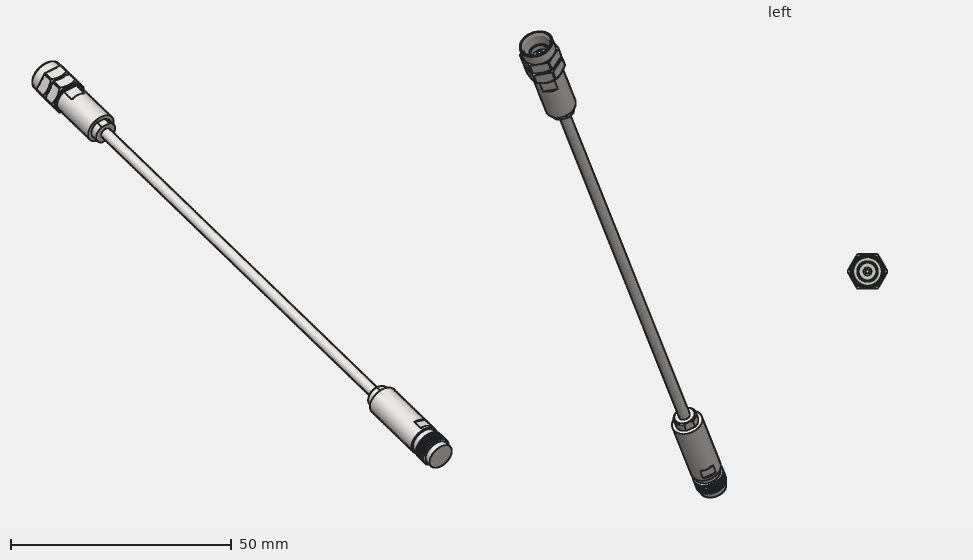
import cadquery as cq
import math

overall_length = 152.4
cable_diameter = 2.6
overlap = 0.3

nut_across_flats = 8.0
nut_across_corners = 9.0
nut_collar_length = 2.7
nut_collar_diameter = 7.8
nut_hex_length = 2.9
nut_groove_width = 0.5
nut_groove_diameter = 7.6
nut_end_lip = 0.5
nut_end_diameter = 7.3
nut_hex_chamfer_length = 0.5
nut_rim_chamfer = 0.2
nut_mouth_length = 0.9
nut_mouth_diameter = 7.0
nut_bore_diameter = 6.4
nut_bore_depth = 6.1

sleeve_diameter = 4.7
sleeve_bore_diameter = 4.0
sleeve_front = 2.7
insulator_front = 4.1
conductor_diameter = 1.8
conductor_front = 3.5
pin_diameter = 0.9
pin_front = 3.0

body_diameter = 7.2
plug_flat_distance = 6.2
ferrule_diameter = 5.3
ferrule_flat_distance = 4.9
plug_body_end = 21.3
plug_flat_end = 12.5
plug_ferrule_end = 23.2
socket_ferrule_start = 127.7
socket_ferrule_chamfer = 0.3
socket_body_start = 130.0
socket_body_end = 146.0
socket_flat_start = 142.8
socket_flat_end = 145.2
socket_flat_distance = 6.4
socket_roll = -20.0

nose_diameter = 6.2
thread_diameter = 7.2
thread_start = 147.5
thread_end = 150.9
thread_ridges = 6

nut_first_hex_end = nut_collar_length + nut_hex_length
nut_second_hex_start = nut_first_hex_end + nut_groove_width
nut_second_hex_end = nut_second_hex_start + nut_hex_length
nut_end = nut_second_hex_end + nut_end_lip


def cylinder(start, end, diameter):
    return cq.Workplane("YZ", origin=(start, 0, 0)).circle(diameter / 2).extrude(end - start)


def turn(outline):
    """Solid of revolution about the cable axis from (x, radius) points."""
    return cq.Workplane("XY").polyline(outline).close().revolve(360, (0, 0, 0), (1, 0, 0))


def flats_band(start, end, distance):
    """Slab between a pair of opposite flats facing +Z and -Z."""
    center = ((start + end) / 2, 0, 0)
    return cq.Workplane(origin=center).box(end - start, nut_across_corners, distance)


def cut_flats(solid, start, end, distance):
    outside = cylinder(start, end, nut_across_corners).cut(flats_band(start, end, distance))
    return solid.cut(outside)


def hex_section(start):
    """Hexagon with two corners on the Y axis trimmed to a cylinder and chamfered at its rear."""
    end = start + nut_hex_length
    circumscribed = nut_across_flats / (math.sqrt(3) / 2)
    prism = cq.Workplane("YZ", origin=(start, 0, 0)).polygon(6, circumscribed).extrude(nut_hex_length)
    outer = nut_across_corners / 2
    rear = nut_across_flats / 2
    turned = turn(
        [
            (start, 0),
            (start, outer),
            (end - nut_hex_chamfer_length, outer),
            (end, rear),
            (end, 0),
        ]
    )
    return prism.intersect(turned)


def coupling_nut():
    collar = cylinder(0, nut_collar_length + overlap, nut_collar_diameter)
    nut = collar.faces("<X").chamfer(nut_rim_chamfer)
    nut = nut.union(cylinder(nut_collar_length, nut_second_hex_end, nut_groove_diameter))
    nut = nut.union(hex_section(nut_collar_length))
    nut = nut.union(hex_section(nut_second_hex_start))
    nut = nut.union(cylinder(nut_second_hex_end - overlap, nut_end, nut_end_diameter))
    bore = cylinder(0, nut_bore_depth, nut_bore_diameter)
    bore_radius = nut_bore_diameter / 2
    mouth_radius = nut_mouth_diameter / 2
    mouth = turn([(0, 0), (0, mouth_radius), (nut_mouth_length, bore_radius), (nut_mouth_length, 0)])
    return nut.cut(bore).cut(mouth)


def mating_face():
    sleeve = cylinder(sleeve_front, nut_bore_depth + overlap, sleeve_diameter)
    sleeve = sleeve.cut(cylinder(sleeve_front, insulator_front, sleeve_bore_diameter))
    sleeve = sleeve.union(cylinder(conductor_front, insulator_front + overlap, conductor_diameter))
    return sleeve.union(cylinder(pin_front, insulator_front + overlap, pin_diameter))


def plug():
    body = cylinder(nut_end - overlap, plug_body_end, body_diameter)
    body = cut_flats(body, nut_end, plug_flat_end, plug_flat_distance)
    ferrule = cylinder(plug_body_end, plug_ferrule_end, ferrule_diameter)
    ferrule = cut_flats(ferrule, plug_body_end, plug_ferrule_end, ferrule_flat_distance)
    return coupling_nut().union(mating_face()).union(body).union(ferrule)


def socket_nose():
    """Threaded nose with the thread simplified to plain V-shaped rings."""
    nose = cylinder(socket_body_end - overlap, overall_length, nose_diameter)
    pitch = (thread_end - thread_start) / thread_ridges
    root_radius = nose_diameter / 2
    outline = [(thread_start, 0), (thread_start, root_radius)]
    for ridge in range(thread_ridges):
        ridge_start = thread_start + ridge * pitch
        outline.append((ridge_start + pitch / 2, thread_diameter / 2))
        outline.append((ridge_start + pitch, root_radius))
    outline.append((thread_end, 0))
    return nose.union(turn(outline))


def socket():
    ferrule = cylinder(socket_ferrule_start, socket_body_start, ferrule_diameter)
    ferrule = ferrule.faces("<X").chamfer(socket_ferrule_chamfer)
    ferrule = cut_flats(ferrule, socket_ferrule_start, socket_body_start, ferrule_flat_distance)
    body = cylinder(socket_body_start, socket_body_end, body_diameter)
    body = cut_flats(body, socket_flat_start, socket_flat_end, socket_flat_distance)
    whole = ferrule.union(body).union(socket_nose())
    return whole.rotate((0, 0, 0), (1, 0, 0), socket_roll)


cable = cylinder(plug_ferrule_end - overlap, socket_ferrule_start + overlap, cable_diameter)
result = plug().union(cable).union(socket())